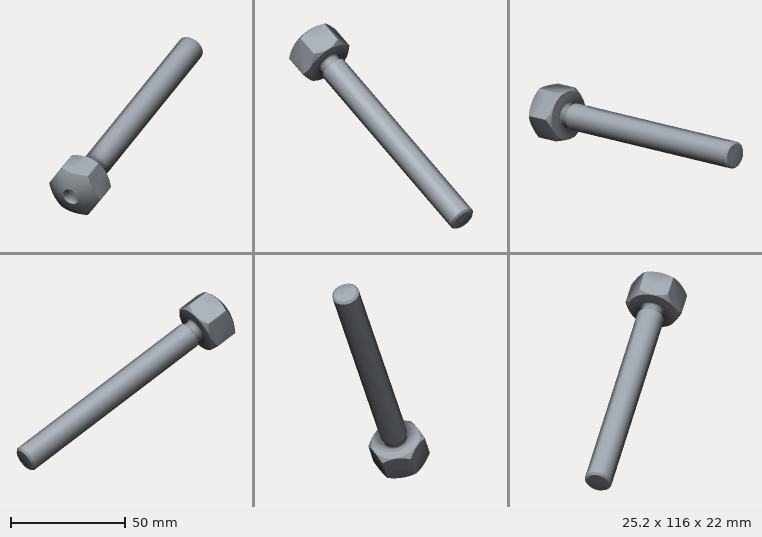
import cadquery as cq
import math

total_length = 116.0
head_height = 16.0

across_flats = 22.0
head_diameter = 25.2
dome_radius = 20.0
seat_diameter = 21.6
seat_chamfer_angle = 45.0

shank_diameter = 12.0
tip_chamfer = 0.9
neck_diameter = 9.9
undercut_width = 4.0
neck_fillet = 0.9

hole_diameter = 6.8
hole_mouth_diameter = 7.6
hole_depth = 8.0
drill_point_angle = 118.0

head_front_y = -total_length / 2
seat_y = head_front_y + head_height
tip_y = total_length / 2


def dome_y(radius):
    """Y of the dome surface at a distance from the axis."""
    rim_height = math.sqrt(dome_radius**2 - (hole_mouth_diameter / 2) ** 2)
    height = math.sqrt(dome_radius**2 - radius**2)
    return head_front_y + rim_height - height


def make_head():
    """Hexagonal prism trimmed by a domed and chamfered body of revolution."""
    head_radius = head_diameter / 2
    seat_radius = seat_diameter / 2
    chamfer_height = (head_radius - seat_radius) * math.tan(math.radians(seat_chamfer_angle))
    envelope = (
        cq.Workplane("XY")
        .moveTo(0, dome_y(0))
        .threePointArc((head_radius / 2, dome_y(head_radius / 2)), (head_radius, dome_y(head_radius)))
        .lineTo(head_radius, seat_y - chamfer_height)
        .lineTo(seat_radius, seat_y)
        .lineTo(0, seat_y)
        .close()
        .revolve(360, (0, 0, 0), (0, 1, 0))
    )
    across_corners = across_flats / math.cos(math.radians(30))
    hexagon = (
        cq.Workplane("XZ", origin=(0, seat_y, 0))
        .polygon(6, across_corners)
        .extrude(seat_y - dome_y(0))
    )
    return hexagon.intersect(envelope)


def quarter_arc_offset(radius):
    """Distance of a concave quarter arc's midpoint from either of its tangent lines."""
    return radius * (1 - math.sqrt(0.5))


def make_shank():
    """Shank with a chamfered tip and an undercut rounded into the head and the shank."""
    shank_radius = shank_diameter / 2
    neck_radius = neck_diameter / 2
    shank_side_radius = shank_radius - neck_radius
    shank_side_mid = quarter_arc_offset(shank_side_radius)
    undercut_end_y = seat_y + undercut_width
    fillet_mid = quarter_arc_offset(neck_fillet)
    return (
        cq.Workplane("XY")
        .moveTo(0, seat_y)
        .lineTo(neck_radius + neck_fillet, seat_y)
        .threePointArc(
            (neck_radius + fillet_mid, seat_y + fillet_mid),
            (neck_radius, seat_y + neck_fillet),
        )
        .lineTo(neck_radius, undercut_end_y - shank_side_radius)
        .threePointArc(
            (neck_radius + shank_side_mid, undercut_end_y - shank_side_mid),
            (shank_radius, undercut_end_y),
        )
        .lineTo(shank_radius, tip_y - tip_chamfer)
        .lineTo(shank_radius - tip_chamfer, tip_y)
        .lineTo(0, tip_y)
        .close()
        .revolve(360, (0, 0, 0), (0, 1, 0))
    )


def make_hole():
    """Blind drilled hole with a chamfered mouth and a conical bottom."""
    hole_radius = hole_diameter / 2
    mouth_radius = hole_mouth_diameter / 2
    mouth_chamfer = mouth_radius - hole_radius
    bottom_y = head_front_y + hole_depth
    point_height = hole_radius / math.tan(math.radians(drill_point_angle / 2))
    return (
        cq.Workplane("XY")
        .moveTo(0, dome_y(0))
        .lineTo(mouth_radius, dome_y(0))
        .lineTo(mouth_radius, head_front_y)
        .lineTo(hole_radius, head_front_y + mouth_chamfer)
        .lineTo(hole_radius, bottom_y)
        .lineTo(0, bottom_y + point_height)
        .close()
        .revolve(360, (0, 0, 0), (0, 1, 0))
    )


result = make_head().union(make_shank()).cut(make_hole())